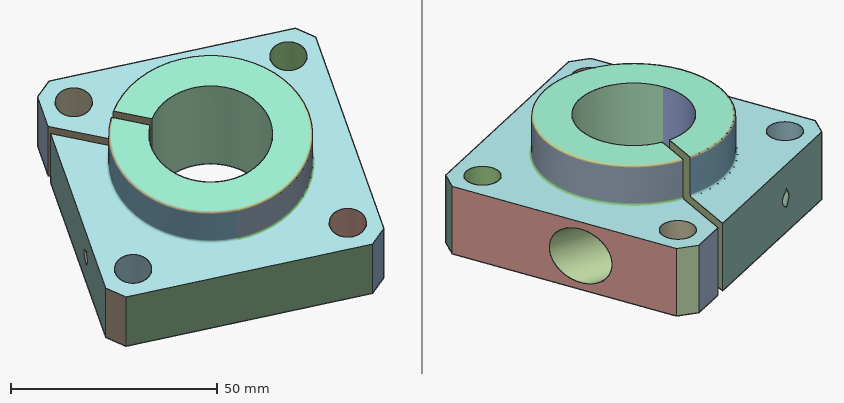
import cadquery as cq
import math

FLANGE_SIDE = 70.0
FLANGE_HEIGHT = 19.0
CORNER_CHAMFER = 4.0

TOTAL_HEIGHT = 30.0
BOSS_DIAMETER = 49.5
BOSS_FILLET = 0.5

BORE_DIAMETER = 30.0
MOUNTING_HOLE_DIAMETER = 9.0
MOUNTING_HOLE_SPACING = 54.0

SLIT_WIDTH = 2.0
SLIT_TILT = 30.0

SCREW_OFFSET = 21.4
SCREW_HEIGHT = FLANGE_HEIGHT / 2
HEAD_DIAMETER = 15.0
HEAD_SEAT = 14.8
CLEARANCE_DIAMETER = 9.0
TAP_DIAMETER = 6.647
TAP_DEPTH = 29.0
DRILL_POINT_ANGLE = 118.0


def make_flange():
    flange = cq.Workplane("XY").rect(FLANGE_SIDE, FLANGE_SIDE).extrude(FLANGE_HEIGHT)
    return flange.edges("|Z").chamfer(CORNER_CHAMFER)


def make_boss():
    """Revolved boss with a filleted foot and a rounded rim."""
    radius = BOSS_DIAMETER / 2
    profile = (
        cq.Workplane("XZ")
        .moveTo(0, FLANGE_HEIGHT)
        .lineTo(radius + BOSS_FILLET, FLANGE_HEIGHT)
        .radiusArc((radius, FLANGE_HEIGHT + BOSS_FILLET), BOSS_FILLET)
        .lineTo(radius, TOTAL_HEIGHT - BOSS_FILLET)
        .radiusArc((radius - BOSS_FILLET, TOTAL_HEIGHT), -BOSS_FILLET)
        .lineTo(0, TOTAL_HEIGHT)
        .close()
    )
    return profile.revolve(360, (0, 0, 0), (0, 1, 0))


def make_bore():
    return cq.Workplane("XY").circle(BORE_DIAMETER / 2).extrude(TOTAL_HEIGHT)


def make_mounting_holes():
    return (
        cq.Workplane("XY")
        .rect(MOUNTING_HOLE_SPACING, MOUNTING_HOLE_SPACING, forConstruction=True)
        .vertices()
        .circle(MOUNTING_HOLE_DIAMETER / 2)
        .extrude(FLANGE_HEIGHT)
    )


def make_slit():
    """Slit laid out along -Y, then swung toward -X."""
    length = FLANGE_SIDE
    slit = cq.Workplane("XY").box(SLIT_WIDTH, length, TOTAL_HEIGHT, centered=(True, True, False))
    slit = slit.translate((0, -length / 2, 0))
    return slit.rotate((0, 0, 0), (0, 0, 1), -SLIT_TILT)


def make_screw_hole():
    """Stepped screw hole laid out along +X with the slit at X = 0, then swung with the slit."""
    head_start = -FLANGE_SIDE
    head_radius = HEAD_DIAMETER / 2
    clearance_radius = CLEARANCE_DIAMETER / 2
    tap_radius = TAP_DIAMETER / 2
    point_length = tap_radius / math.tan(math.radians(DRILL_POINT_ANGLE / 2))
    profile = (
        cq.Workplane("XY")
        .moveTo(head_start, 0)
        .lineTo(head_start, head_radius)
        .lineTo(-HEAD_SEAT, head_radius)
        .lineTo(-HEAD_SEAT, clearance_radius)
        .lineTo(0, clearance_radius)
        .lineTo(0, tap_radius)
        .lineTo(TAP_DEPTH, tap_radius)
        .lineTo(TAP_DEPTH + point_length, 0)
        .close()
    )
    hole = profile.revolve(360, (0, 0, 0), (1, 0, 0))
    hole = hole.translate((0, -SCREW_OFFSET, SCREW_HEIGHT))
    return hole.rotate((0, 0, 0), (0, 0, 1), -SLIT_TILT)


body = make_flange().union(make_boss())
body = body.cut(make_bore())
body = body.cut(make_mounting_holes())
body = body.cut(make_slit())
result = body.cut(make_screw_hole())